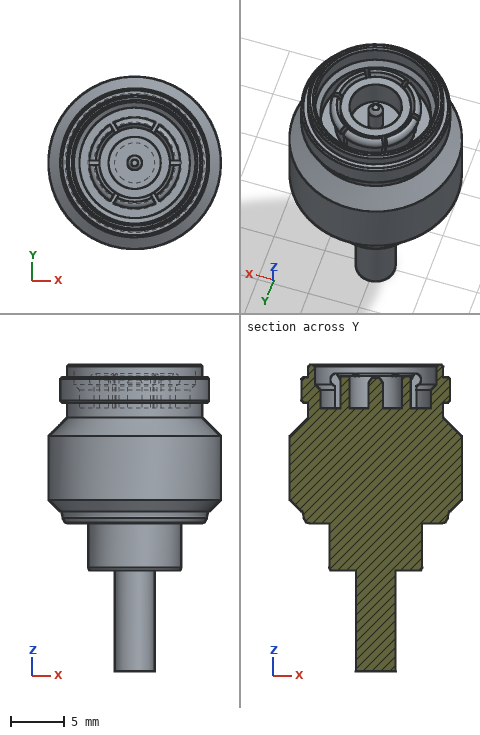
import cadquery as cq

total_height = 28.75
top_depth_to_ring = 1.18
ring_height = 2.42
neck_height = 1.38
body_height = 5.98
heel_height = 1.15
ferrule_height = 4.4

body_radius = 16.2 / 2
neck_radius = 6.35
ring_radius = 7.0
ferrule_radius = 4.37
cable_radius = 3.77 / 2

edge_chamfer = 0.2
ferrule_chamfer_radial = 0.12
ferrule_chamfer_height = 0.25

body_chamfer = 1.05
heel_top_radius = 6.9
heel_band_radius = 6.78
heel_bottom_radius = 6.53
heel_band_height = 0.15
heel_taper_height = 0.5
heel_foot_radius = 6.25
heel_foot_height = 0.1

socket_radius = 5.7
socket_lower_radius = 5.18
socket_depth = 4.08
funnel_depth = 1.87
rim_chamfer = 0.2

collet_depth = 0.85
bead_bulge = 0.43
bead_height = 1.15
finger_radius = 3.82
collet_lip_radius = 3.65
collet_bevel_radius = 3.48
collet_bevel_height = 0.3
collet_taper_height = 0.32
slot_count = 6
slot_width = 0.4

insulator_depth = 1.1
insulator_radius = 3.3
insulator_bore_radius = 2.45
pin_radius = 0.7
pin_tip_radius = 0.32
pin_depth = 1.25
pin_dome_height = 0.52
pin_dome_arc_radius = 1.15

ring_top = total_height - top_depth_to_ring
ring_bottom = ring_top - ring_height
shoulder_top = ring_bottom - neck_height
shoulder_bottom = shoulder_top - (body_radius - neck_radius)
body_bottom = shoulder_bottom - body_height
heel_top = body_bottom - body_chamfer
heel_bottom = heel_top - heel_height
ferrule_bottom = heel_bottom - ferrule_height
socket_floor = total_height - socket_depth


def revolve_about_z(outline):
    """Close an (r, z) outline and spin it around the Z axis."""
    return outline.close().revolve(360, (0, 0, 0), (0, 1, 0))


def make_shell():
    """Cable, ferrule, body, neck and ring as one turned piece."""
    outline = cq.Workplane("XZ").polyline([
        (0, 0),
        (cable_radius, 0),
        (cable_radius, ferrule_bottom),
        (ferrule_radius - ferrule_chamfer_radial, ferrule_bottom),
        (ferrule_radius, ferrule_bottom + ferrule_chamfer_height),
        (ferrule_radius, heel_bottom),
        (heel_foot_radius, heel_bottom),
        (heel_bottom_radius, heel_bottom + heel_foot_height),
        (heel_band_radius, heel_top - heel_taper_height - heel_band_height),
        (heel_band_radius, heel_top - heel_taper_height),
        (heel_top_radius, heel_top),
        (body_radius - body_chamfer, heel_top),
        (body_radius, body_bottom),
        (body_radius, shoulder_bottom),
        (neck_radius, shoulder_top),
        (neck_radius, ring_bottom),
        (ring_radius - edge_chamfer, ring_bottom),
        (ring_radius, ring_bottom + edge_chamfer),
        (ring_radius, ring_top - edge_chamfer),
        (ring_radius - edge_chamfer, ring_top),
        (neck_radius, ring_top),
        (neck_radius, total_height - edge_chamfer),
        (neck_radius - edge_chamfer, total_height),
        (0, total_height),
    ])
    return revolve_about_z(outline)


def make_socket():
    """Open space in the top end, with a rim chamfer and a funnel step."""
    funnel_top = total_height - funnel_depth
    funnel_bottom = funnel_top - (socket_radius - socket_lower_radius)
    outline = cq.Workplane("XZ").polyline([
        (0, socket_floor),
        (socket_lower_radius, socket_floor),
        (socket_lower_radius, funnel_bottom),
        (socket_radius, funnel_top),
        (socket_radius, total_height - rim_chamfer),
        (socket_radius + rim_chamfer, total_height),
        (0, total_height),
    ])
    return revolve_about_z(outline)


def make_collet():
    """Ring of spring fingers with a rounded outer bead, parted by radial slots."""
    collet_top = total_height - collet_depth
    bead_middle = collet_top - bead_height / 2
    bevel_bottom = collet_top - collet_bevel_height
    outline = (
        cq.Workplane("XZ")
        .moveTo(insulator_radius, socket_floor)
        .lineTo(finger_radius, socket_floor)
        .lineTo(finger_radius, collet_top - bead_height)
        .threePointArc((finger_radius + bead_bulge, bead_middle), (finger_radius, collet_top))
        .lineTo(collet_lip_radius, collet_top)
        .lineTo(collet_bevel_radius, bevel_bottom)
        .lineTo(insulator_radius, bevel_bottom - collet_taper_height)
    )
    collet = revolve_about_z(outline)
    slot_length = 2 * socket_lower_radius
    for index in range(slot_count // 2):
        slot = (
            cq.Workplane("XY", origin=(0, 0, socket_floor))
            .rect(slot_length, slot_width)
            .extrude(socket_depth)
            .rotate((0, 0, 0), (0, 0, 1), index * 360 / slot_count)
        )
        collet = collet.cut(slot)
    return collet


def make_insulator():
    """Plain sleeve inside the collet."""
    return (
        cq.Workplane("XY", origin=(0, 0, socket_floor))
        .circle(insulator_radius)
        .circle(insulator_bore_radius)
        .extrude(socket_depth - insulator_depth)
    )


def make_pin():
    """Centre contact with a domed end and a small flat tip."""
    pin_top = total_height - pin_depth
    dome_base = pin_top - pin_dome_height
    outline = (
        cq.Workplane("XZ")
        .moveTo(0, socket_floor)
        .lineTo(pin_radius, socket_floor)
        .lineTo(pin_radius, dome_base)
        .radiusArc((pin_tip_radius, pin_top), -pin_dome_arc_radius)
        .lineTo(0, pin_top)
    )
    return revolve_about_z(outline)


result = (
    make_shell()
    .cut(make_socket())
    .union(make_insulator())
    .union(make_collet())
    .union(make_pin())
)